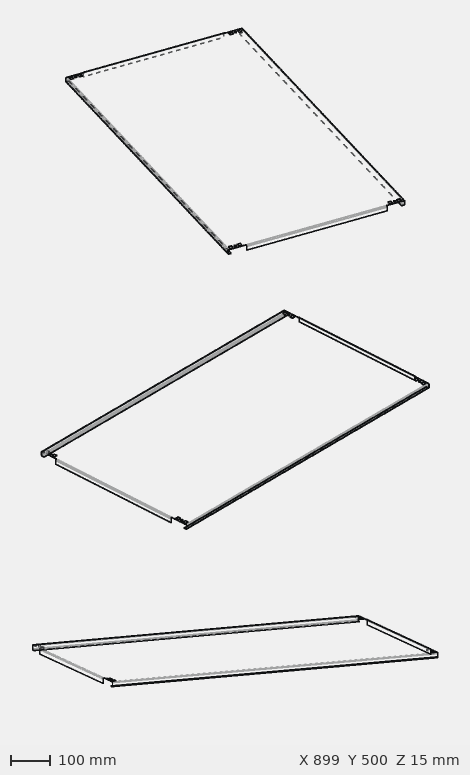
import cadquery as cq

length = 899.0
width = 500.0
height = 15.0

thickness = 2.0
inner_radius = 2.0
outer_radius = inner_radius + thickness

channel_length = length - 2 * outer_radius
lip_depth = 10.0

side_flange_length = 396.0

square_size = 9.0
square_pitch = 25.0
round_diameter = 6.0
hole_inset_x = 8.0
outer_square_inset_y = 12.75


def bar(span, bar_height, bar_length, bottom):
    """Block centred on X and Y, lying along Y, with its underside at the given height."""
    base = cq.Workplane("XY").workplane(offset=bottom)
    return base.rect(span, bar_length).extrude(bar_height)


def panel_with_flanges(span, flange_length):
    """Sheet with both edges along Y folded down into plain flanges."""
    outside = bar(span, height, flange_length, 0)
    inside = bar(span - 2 * thickness, height - thickness, flange_length, 0)
    outside = outside.edges("|Y and >Z").fillet(outer_radius)
    inside = inside.edges("|Y and >Z").fillet(inner_radius)
    return outside.cut(inside)


def panel_with_channels(span, strip_length, lip):
    """Sheet with both edges along Y folded down and then inward to form a lip."""
    outside = bar(span, height, strip_length, 0)
    inside = bar(span - 2 * thickness, height - 2 * thickness, strip_length, thickness)
    outside = outside.edges("|Y").fillet(outer_radius)
    inside = inside.edges("|Y").fillet(inner_radius)
    opening = bar(span - 2 * lip, thickness, strip_length, 0)
    return outside.cut(inside).cut(opening)


def corner_holes():
    """Cutters for the two square holes and the round hole in each corner of the sheet."""
    hole_x = channel_length / 2 - hole_inset_x
    outer_y = width / 2 - outer_square_inset_y
    inner_y = outer_y - square_pitch
    middle_y = (outer_y + inner_y) / 2
    square_points = []
    round_points = []
    for side_x in (-1, 1):
        for side_y in (-1, 1):
            square_points.append((side_x * hole_x, side_y * outer_y))
            square_points.append((side_x * hole_x, side_y * inner_y))
            round_points.append((side_x * hole_x, side_y * middle_y))
    underside = cq.Workplane("XY").workplane(offset=height - thickness)
    squares = underside.pushPoints(square_points).rect(square_size, square_size).extrude(thickness)
    rounds = underside.pushPoints(round_points).circle(round_diameter / 2).extrude(thickness)
    return squares.union(rounds)


channels = panel_with_channels(width, channel_length, lip_depth).rotate((0, 0, 0), (0, 0, 1), 90)
side_flanges = panel_with_flanges(length, side_flange_length)
result = channels.union(side_flanges).cut(corner_holes())